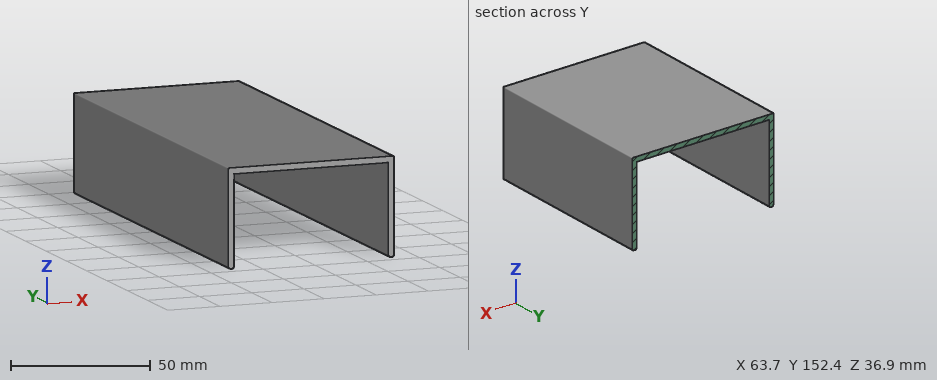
import cadquery as cq

width = 63.7
length = 152.4
height = 36.9
wall = 2.3
top_edge_radius = 0.5
tip_radius = wall / 2


def channel():
    """Inverted U channel, centred in X and Y, with its leg tips at Z = 0."""
    body = cq.Workplane("XY").box(width, length, height, centered=(True, True, False))
    inside = cq.Workplane("XY").box(
        width - 2 * wall, length, height - wall, centered=(True, True, False)
    )
    return body.cut(inside)


def leg_tip(side):
    """Half-round bar along Y that ends one leg; side is -1 or 1."""
    return (
        cq.Workplane("XZ", origin=(side * (width - wall) / 2, length / 2, tip_radius))
        .circle(tip_radius)
        .extrude(length)
    )


trim = cq.Workplane("XY").box(width, length, tip_radius, centered=(True, True, False))
result = channel().cut(trim)
for side in (-1, 1):
    result = result.union(leg_tip(side))

result = result.faces(">Z").edges("|Y").fillet(top_edge_radius)